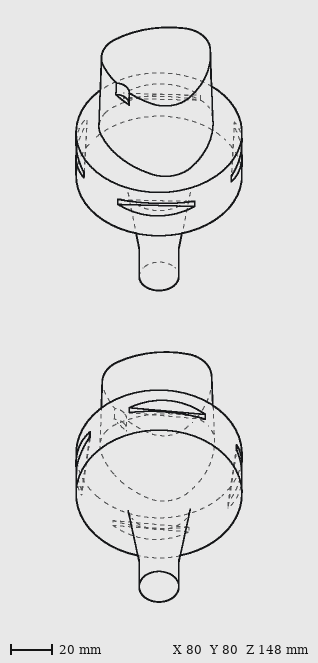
import cadquery as cq
import math

total_height = 148.0
pin_length = 20.0
flange_bottom = 70.0
shank_height = 47.8
flange_top = total_height - shank_height

pin_radius = 19.2 / 2
flange_radius = 80.0 / 2
neck_angle = math.radians(7.8)
underside_angle = math.radians(15)
neck_fillet = 4.5

lobe_reach = 29.6
flank_reach = 25.2
lobe_radius = 16.0
shank_taper = math.degrees(math.atan(1 / 40))
lobe_count = 3

groove_count = 4
groove_start_angle = 45.0
groove_height = 88.2
groove_floor_distance = 35.5
groove_floor_width = 3.5
groove_wall_angle = math.radians(30)

notch_radius = 6.7
notch_bottom_reach = 21.9
notch_height = 8.0


def polar(radius, angle):
    return (radius * math.cos(angle), radius * math.sin(angle))


def make_body():
    neck_slope = math.tan(neck_angle)
    underside_slope = math.tan(underside_angle)
    corner_height = (
        flange_bottom
        - underside_slope * (flange_radius - pin_radius + neck_slope * pin_length)
    ) / (1 - underside_slope * neck_slope)
    corner_radius = pin_radius + neck_slope * (corner_height - pin_length)

    body = (
        cq.Workplane("XZ")
        .polyline([
            (0, 0),
            (pin_radius, 0),
            (pin_radius, pin_length),
            (corner_radius, corner_height),
            (flange_radius, flange_bottom),
            (flange_radius, flange_top),
            (0, flange_top),
        ])
        .close()
        .revolve(360, (0, 0, 0), (0, 1, 0))
    )
    corner_point = (0, 0, corner_height)
    return body.edges(cq.selectors.NearestToPointSelector(corner_point)).fillet(neck_fillet)


def make_shank():
    lobe_center = lobe_reach - lobe_radius
    flank_gap = flank_reach - lobe_radius
    flank_center = (lobe_center**2 - flank_gap**2) / (2 * flank_gap - lobe_center)
    flank_radius = flank_reach + flank_center

    half_pitch = math.pi / lobe_count
    flank_half_angle = math.asin(
        lobe_center * math.sin(half_pitch) / (flank_radius - lobe_radius)
    )
    lobe_half_angle = half_pitch - flank_half_angle
    join_x = lobe_center + lobe_radius * math.cos(lobe_half_angle)
    join_y = lobe_radius * math.sin(lobe_half_angle)
    join_radius = math.hypot(join_x, join_y)
    join_angle = math.atan2(join_y, join_x)

    first_lobe = math.pi / 2
    outline = cq.Workplane("XY", origin=(0, 0, flange_top))
    outline = outline.moveTo(*polar(join_radius, first_lobe - join_angle))
    for i in range(lobe_count):
        lobe = first_lobe + 2 * half_pitch * i
        next_lobe = lobe + 2 * half_pitch
        outline = outline.threePointArc(
            polar(lobe_reach, lobe), polar(join_radius, lobe + join_angle)
        )
        outline = outline.threePointArc(
            polar(flank_reach, lobe + half_pitch),
            polar(join_radius, next_lobe - join_angle),
        )
    return outline.close().extrude(shank_height, taper=shank_taper)


def make_groove():
    cutter_reach = flange_radius + 1.5
    floor_half = groove_floor_width / 2
    mouth_half = floor_half + (cutter_reach - groove_floor_distance) * math.tan(groove_wall_angle)
    return (
        cq.Workplane("XZ", origin=(0, 0, groove_height))
        .polyline([
            (groove_floor_distance, -floor_half),
            (cutter_reach, -mouth_half),
            (cutter_reach, mouth_half),
            (groove_floor_distance, floor_half),
        ])
        .close()
        .extrude(flange_radius, both=True)
    )


def make_notch():
    return (
        cq.Workplane("XY", origin=(0, 0, total_height - notch_height))
        .center(0, -(notch_bottom_reach + notch_radius))
        .circle(notch_radius)
        .extrude(notch_height)
    )


result = make_body().union(make_shank()).cut(make_notch())
for index in range(groove_count):
    angle = groove_start_angle + 360 / groove_count * index
    result = result.cut(make_groove().rotate((0, 0, 0), (0, 0, 1), angle))